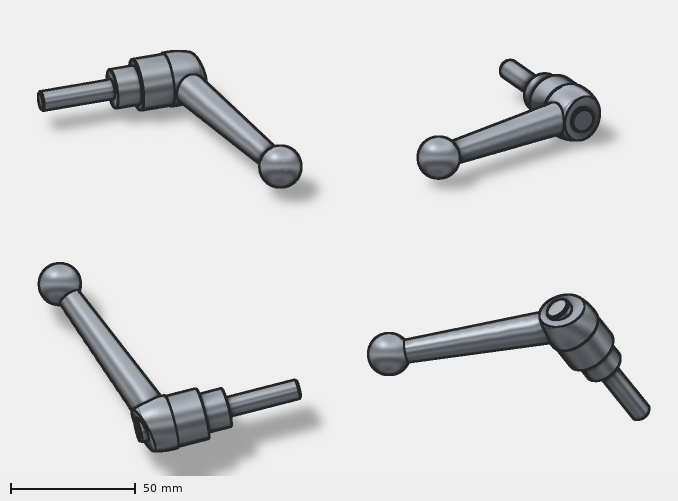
import cadquery as cq
import math


stud_dia = 8.0
stud_length = 30.0
stud_chamfer = 0.7

collar_dia = 16.0
collar_length = 10.0
edge_chamfer = 0.3

hub_dia = 21.0
hub_length = 13.0

head_dia = 22.0
dome_widest_height = 2.0
dome_radius = 27.0
dome_height = 12.0
crown_height = 15.0
crown_top_dia = 15.6
slope_height = dome_height
slope_angle = 15.0

screw_dia = 10.0
screw_height = 14.2
screw_chamfer_radial = 0.5
screw_chamfer_axial = 0.8

arm_root_height = 4.2
arm_root_radius = 6.85
arm_tip_radius = 4.4
ball_dia = 17.0
length_x = 90.24
length_y = 87.77

collar_bottom = stud_length
hub_bottom = collar_bottom + collar_length
head_bottom = hub_bottom + hub_length
ball_x = length_x - head_dia / 2 - ball_dia / 2
ball_y = length_y - ball_dia / 2


def turned_about_y(profile):
    """Revolve a closed profile, drawn in XY, around the Y axis."""
    return profile.close().revolve(360, (0, 0, 0), (0, 1, 0))


def cylinder_with_lower_chamfer(bottom, length, dia, chamfer):
    radius = dia / 2
    profile = (
        cq.Workplane("XY")
        .moveTo(0, bottom)
        .lineTo(radius - chamfer, bottom)
        .lineTo(radius, bottom + chamfer)
        .lineTo(radius, bottom + length)
        .lineTo(0, bottom + length)
    )
    return turned_about_y(profile)


def dome_radius_at(height):
    """Radius of the domed head at a height above its lower face."""
    rise = height - dome_widest_height
    return head_dia / 2 - dome_radius + math.sqrt(dome_radius**2 - rise**2)


def head():
    """Domed head with a conical crown, cut off by a sloped plane that rises toward the arm."""
    middle = dome_height / 2
    profile = (
        cq.Workplane("XY")
        .moveTo(0, head_bottom)
        .lineTo(dome_radius_at(0), head_bottom)
        .threePointArc(
            (dome_radius_at(middle), head_bottom + middle),
            (dome_radius_at(dome_height), head_bottom + dome_height),
        )
        .lineTo(crown_top_dia / 2, head_bottom + crown_height)
        .lineTo(0, head_bottom + crown_height)
    )
    cutter_size = 2 * head_dia
    above_slope = (
        cq.Workplane("XY")
        .box(cutter_size, cutter_size, cutter_size)
        .translate((0, cutter_size / 2, 0))
        .rotate((0, 0, 0), (0, 0, 1), slope_angle)
        .translate((0, head_bottom + slope_height, 0))
    )
    return turned_about_y(profile).cut(above_slope)


def screw_head():
    radius = screw_dia / 2
    top = head_bottom + screw_height
    profile = (
        cq.Workplane("XY")
        .moveTo(0, head_bottom)
        .lineTo(radius, head_bottom)
        .lineTo(radius, top - screw_chamfer_axial)
        .lineTo(radius - screw_chamfer_radial, top)
        .lineTo(0, top)
    )
    return turned_about_y(profile)


def arm():
    """Tapered arm from the hub axis to the centre of the ball."""
    root = cq.Vector(0, head_bottom + arm_root_height, 0)
    axis = cq.Vector(ball_x, ball_y, 0) - root
    return cq.Workplane(cq.Solid.makeCone(arm_root_radius, arm_tip_radius, axis.Length, root, axis))


def ball():
    return cq.Workplane("XY").sphere(ball_dia / 2).translate((ball_x, ball_y, 0))


result = (
    cylinder_with_lower_chamfer(0, stud_length, stud_dia, stud_chamfer)
    .union(cylinder_with_lower_chamfer(collar_bottom, collar_length, collar_dia, edge_chamfer))
    .union(cylinder_with_lower_chamfer(hub_bottom, hub_length, hub_dia, edge_chamfer))
    .union(head())
    .union(screw_head())
    .union(arm())
    .union(ball())
)